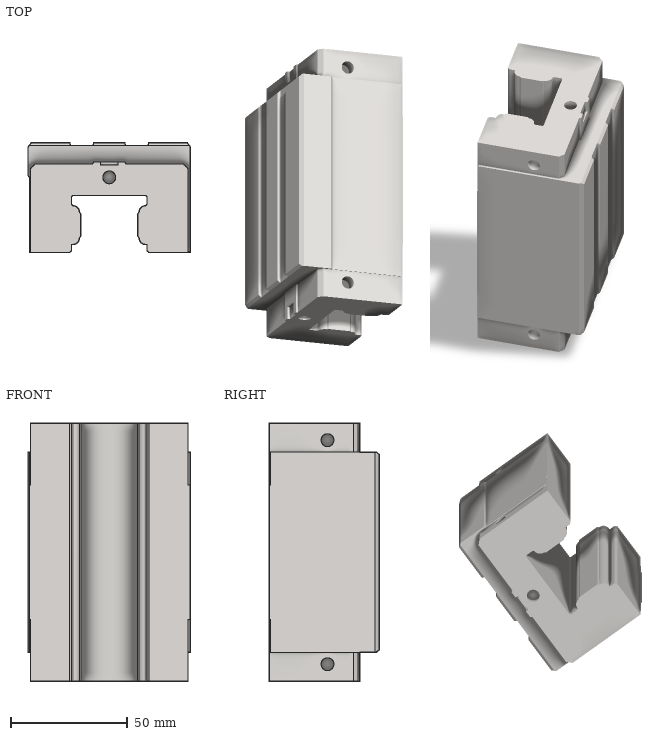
import cadquery as cq
import math


total_length = 111.2
total_height = 47.4
block_width = 70.0
block_length = 86.3

pad_height = 1.2
block_top = total_height - pad_height
relief_step = 0.7
relief_top = 33.2
relief_bottom = 32.3
end_foot_height = 0.55
full_foot_length = 58.0

side_pad_inner_x = 16.6
centre_pad_half_width = 7.1
pad_groove_slope = 0.4
pad_outer_slope = 0.9
pad_end_slope = 1.1
block_edge_chamfer_width = 0.5
block_edge_chamfer_height = block_edge_chamfer_width * pad_height / pad_outer_slope

cap_width = 67.9
cap_top = 38.2
cap_corner_chamfer = 2.0
tab_base_half_width = 7.25
tab_top_half_width = 6.8
tab_top = 39.0
notch_half_width = 3.85
notch_bottom = 37.8
cover_plate_thickness = 5.35

grease_hole_diameter = 5.5
grease_hole_depth = 6.0
end_hole_y = 32.45
side_hole_y = 25.1
side_hole_from_end = 7.35

channel_half_width = 16.2
channel_top = 24.6
channel_top_radius = 0.6
lip_half_width = 12.2
lip_middle_y = 11.9
lip_half_height = 8.4
lip_flat_half_height = 4.8
lip_radius = 2.9
lip_facet_width = 0.6
shoulder_bevel = 0.6
mouth_chamfer = 0.9


def slab(outline, length):
    """Extrude a closed XY outline symmetrically about Z = 0."""
    return cq.Workplane("XY").polyline(outline).close().extrude(length / 2, both=True)


def box_between(x_min, x_max, y_min, y_max, z_min, z_max):
    return (
        cq.Workplane("XY")
        .box(x_max - x_min, y_max - y_min, z_max - z_min, centered=False)
        .translate((x_min, y_min, z_min))
    )


def steel_block():
    half = block_width / 2
    relieved = -half + relief_step
    outline = [
        (relieved, 0),
        (half, 0),
        (half, block_top - block_edge_chamfer_height),
        (half - block_edge_chamfer_width, block_top),
        (-half + block_edge_chamfer_width, block_top),
        (-half, block_top - block_edge_chamfer_height),
        (-half, relief_top),
        (relieved, relief_bottom),
    ]
    block = slab(outline, block_length)
    for z_start in (-block_length / 2, full_foot_length / 2):
        z_end = z_start + (block_length - full_foot_length) / 2
        block = block.cut(box_between(-half, half, 0, end_foot_height, z_start, z_end))
    return block


def mounting_pad(x_min, x_max, slope_at_min, slope_at_max):
    """Raised pad between x_min and x_max at its base, leaning inwards by the given slopes."""
    cross_section = slab(
        [
            (x_min, block_top),
            (x_max, block_top),
            (x_max - slope_at_max, total_height),
            (x_min + slope_at_min, total_height),
        ],
        block_length,
    )
    half_length = block_length / 2
    side_view = (
        cq.Workplane("YZ")
        .polyline(
            [
                (block_top, -half_length),
                (total_height, -half_length + pad_end_slope),
                (total_height, half_length - pad_end_slope),
                (block_top, half_length),
            ]
        )
        .close()
        .extrude(block_width, both=True)
    )
    return cross_section.intersect(side_view)


def mounting_pads():
    centre_pad = mounting_pad(
        -centre_pad_half_width, centre_pad_half_width, pad_groove_slope, pad_groove_slope
    )
    outer_x = block_width / 2 - block_edge_chamfer_width
    side_pad = mounting_pad(side_pad_inner_x, outer_x, pad_groove_slope, pad_outer_slope)
    return centre_pad.add(side_pad).add(side_pad.mirror("YZ")).combine()


def cap_body():
    """Cap outline run through the whole length; inside the block it forms the lower seals."""
    half = cap_width / 2
    outline = [
        (-half, 0),
        (half, 0),
        (half, cap_top - cap_corner_chamfer),
        (half - cap_corner_chamfer, cap_top),
        (tab_base_half_width, cap_top),
        (tab_top_half_width, tab_top),
        (-tab_top_half_width, tab_top),
        (-tab_base_half_width, cap_top),
        (-half + cap_corner_chamfer, cap_top),
        (-half, cap_top - cap_corner_chamfer),
    ]
    return slab(outline, total_length)


def cap_notch(end):
    """Notch in the cap tab, as deep as the cover plate; end is +1 or -1 along Z."""
    outer = end * total_length / 2
    inner = outer - end * cover_plate_thickness
    z_min, z_max = sorted((outer, inner))
    return box_between(-notch_half_width, notch_half_width, notch_bottom, tab_top, z_min, z_max)


def grease_hole(start, direction):
    radius = grease_hole_diameter / 2
    hole = cq.Solid.makeCylinder(radius, grease_hole_depth, cq.Vector(*start), cq.Vector(*direction))
    return cq.Workplane(obj=hole)


def rail_channel():
    upper_shoulder = lip_middle_y + lip_half_height
    lower_shoulder = lip_middle_y - lip_half_height
    upper_flat = lip_middle_y + lip_flat_half_height
    lower_flat = lip_middle_y - lip_flat_half_height
    facet_x = lip_half_width + lip_facet_width
    arc_end_x = facet_x + lip_radius
    arc_mid_rise = lip_radius * math.sin(math.radians(45))
    arc_mid_x = arc_end_x - arc_mid_rise
    upper_arc_y = upper_shoulder - lip_radius
    lower_arc_y = lower_shoulder + lip_radius
    half_channel = (
        cq.Workplane("XY")
        .moveTo(0, 0)
        .lineTo(channel_half_width + mouth_chamfer, 0)
        .lineTo(channel_half_width, mouth_chamfer)
        .lineTo(channel_half_width, lower_shoulder)
        .lineTo(arc_end_x, lower_shoulder)
        .threePointArc((arc_mid_x, lower_arc_y - arc_mid_rise), (facet_x, lower_arc_y))
        .lineTo(lip_half_width, lower_flat)
        .lineTo(lip_half_width, upper_flat)
        .lineTo(facet_x, upper_arc_y)
        .threePointArc((arc_mid_x, upper_arc_y + arc_mid_rise), (arc_end_x, upper_shoulder))
        .lineTo(channel_half_width, upper_shoulder + shoulder_bevel)
        .lineTo(channel_half_width, channel_top - channel_top_radius)
        .radiusArc((channel_half_width - channel_top_radius, channel_top), -channel_top_radius)
        .lineTo(0, channel_top)
        .close()
        .extrude(total_length / 2, both=True)
    )
    return half_channel.union(half_channel.mirror("YZ"))


def build():
    part = steel_block().union(cap_body())
    part = part.union(mounting_pads())
    part = part.cut(rail_channel())
    for end in (-1, 1):
        part = part.cut(cap_notch(end))
        part = part.cut(grease_hole((0, end_hole_y, end * total_length / 2), (0, 0, -end)))
        hole_z = end * (total_length / 2 - side_hole_from_end)
        for side in (-1, 1):
            part = part.cut(grease_hole((side * cap_width / 2, side_hole_y, hole_z), (-side, 0, 0)))
    return part


result = build()